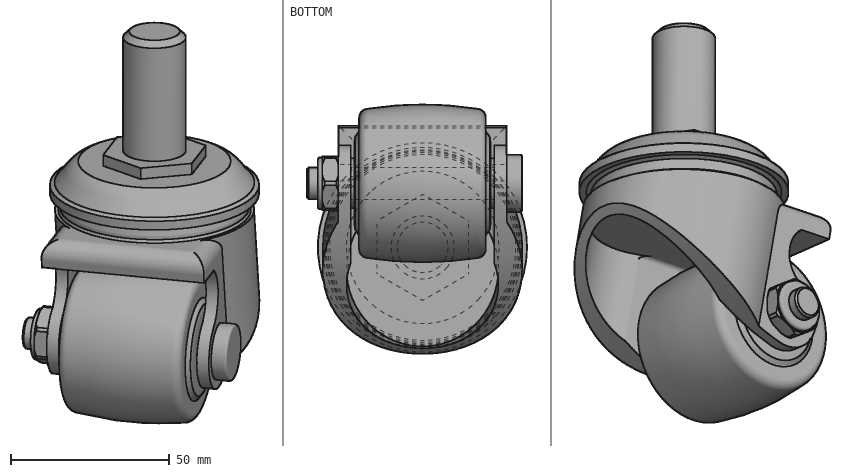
import cadquery as cq
import math


wheel_radius = 24.9
tread_edge_radius = 23.6
tread_edge_x = 17.5
wheel_half_width = 20.0
side_outer_radius = 20.6
tread_corner_radius = 22.7
tread_corner_x = 19.2
hub_step_radius = 16.5
hub_step_x = 20.3
hub_rim_radius = 16.0
hub_slope_radius = 14.7
hub_slope_x = 21.2
hub_face_radius = 12.9
hub_face_x = 21.5
spacer_radius = 7.9

axle_y = -20.1
axle_z = wheel_radius
axle_radius = 5.0
axle_end_x = -36.5
axle_chamfer = 0.6
nut_width = 17.0
nut_height = 5.0
nut_corner_radius = 9.5
nut_chamfer = 0.7
collar_radius = 8.2
collar_height = 1.5
collar_fillet = 0.9
head_radius = 9.1
head_height = 4.9
head_fillet = 0.7

yoke_top = 62.9
yoke_tilt = 11.0
yoke_radius = 31.5
fork_half_width = 26.5
fork_thickness = 3.9
fork_inner_half = fork_half_width - fork_thickness
plate_front = 38.7
plate_edge_fillet = 5.0
plate_bottom = 54.3
back_wall = 2.3
cavity_radius = 24.0
ceiling_fillet = 1.5
boss_radius = 12.0
yoke_back_y = 33.7
belly_radius = 83.5
notch_radius = 11.3
notch_y = -32.3
prism_length = 98.3

cap_top = 79.1
cap_top_radius = 24.1
cap_radius = 33.0
hex_width = 29.0
hex_height = 3.7
cap_shoulder_radius = 27.9
cap_shoulder_z = 76.4
cap_shoulder_middle = (26.2, 78.0)
rim_inner_radius = 31.6
rim_cone_z = 72.0
rim_top = 71.2
rim_bottom = 68.3
rim_lip_radius = 30.8
neck_top_radius = 29.4
neck_top_z = 67.5
neck_radius = 30.0
neck_band_top = 65.0
neck_band_bottom = 63.9
neck_foot_radius = 30.5
stem_radius = 10.0
stem_top = 122.8
stem_chamfer = 2.0


def hexagon_diameter(width):
    """Corner-to-corner diameter of a hexagon from its width across flats."""
    return width / math.cos(math.pi / 6)


def meeting_point(first, first_radius, second, second_radius):
    """Crossing point of two circles, to the right of the ray between their (y, z) centres."""
    dy = second[0] - first[0]
    dz = second[1] - first[1]
    gap = math.hypot(dy, dz)
    along = (first_radius**2 - second_radius**2 + gap**2) / (2 * gap)
    across = math.sqrt(first_radius**2 - along**2)
    return (
        first[0] + (along * dy + across * dz) / gap,
        first[1] + (along * dz - across * dy) / gap,
    )


def point_toward(start, target, distance):
    """Point at a distance from start on the ray to target."""
    length = math.dist(start, target)
    return (
        start[0] + distance * (target[0] - start[0]) / length,
        start[1] + distance * (target[1] - start[1]) / length,
    )


def axle_plane(x):
    """Plane across the axle at a given X."""
    return cq.Workplane("YZ", origin=(x, axle_y, axle_z))


def make_wheel():
    """Crowned wheel with stepped hub faces, bored for the axle."""
    right_side = [
        (wheel_half_width, side_outer_radius),
        (wheel_half_width, hub_step_radius),
        (hub_step_x, hub_rim_radius),
        (hub_slope_x, hub_slope_radius),
        (hub_face_x, hub_face_radius),
        (hub_face_x, spacer_radius),
        (fork_inner_half, spacer_radius),
        (fork_inner_half, axle_radius),
    ]
    left_side = [(-x, r) for x, r in reversed(right_side)]
    half_section = (
        cq.Workplane("XY")
        .moveTo(-tread_edge_x, tread_edge_radius)
        .threePointArc((0, wheel_radius), (tread_edge_x, tread_edge_radius))
        .threePointArc((tread_corner_x, tread_corner_radius), right_side[0])
        .polyline(right_side[1:] + left_side, includeCurrent=True)
        .threePointArc((-tread_corner_x, tread_corner_radius), (-tread_edge_x, tread_edge_radius))
        .close()
    )
    return half_section.revolve(360, (0, 0, 0), (1, 0, 0)).translate((0, axle_y, axle_z))


def tilted_plane():
    """Plane through the yoke top whose normal is the leaning yoke axis."""
    lean = math.radians(yoke_tilt)
    return cq.Workplane(
        cq.Plane((0, 0, yoke_top), xDir=(1, 0, 0), normal=(0, -math.sin(lean), math.cos(lean)))
    )


def below(level):
    """Large block filling the space under a Z level."""
    size = 2 * prism_length
    return cq.Workplane("XY").box(size, size, size).translate((0, 0, level - size / 2))


def make_yoke_outline():
    """Side outline of the yoke, as a block across the full width."""
    axle = (axle_y, axle_z)
    back = (yoke_back_y, plate_bottom)
    belly_centre = meeting_point(back, belly_radius, axle, belly_radius - boss_radius)
    belly_end = point_toward(belly_centre, axle, belly_radius)
    belly_chord_middle = ((back[0] + belly_end[0]) / 2, (back[1] + belly_end[1]) / 2)
    belly_middle = point_toward(belly_centre, belly_chord_middle, belly_radius)
    notch_rise = math.sqrt((boss_radius + notch_radius) ** 2 - (notch_y - axle_y) ** 2)
    notch_centre = (notch_y, axle_z + notch_rise)
    notch_start = point_toward(axle, notch_centre, boss_radius)
    notch_drop = plate_bottom - notch_centre[1]
    notch_end = (notch_y + math.sqrt(notch_radius**2 - notch_drop**2), plate_bottom)
    notch_middle = (notch_y + notch_radius, notch_centre[1])
    boss_middle = (axle_y - boss_radius, axle_z)
    return (
        cq.Workplane("YZ")
        .moveTo(*back)
        .threePointArc(belly_middle, belly_end)
        .threePointArc(boss_middle, notch_start)
        .threePointArc(notch_middle, notch_end)
        .lineTo(-prism_length, plate_bottom)
        .lineTo(-prism_length, yoke_top)
        .lineTo(yoke_back_y, yoke_top)
        .close()
        .extrude(yoke_radius, both=True)
    )


def make_cavity():
    """Wheel space of the yoke: an open slot between the legs with a round pocket behind it."""
    pocket_y = yoke_radius - back_wall - cavity_radius
    slot = (
        tilted_plane()
        .center(0, pocket_y - prism_length / 2)
        .rect(2 * fork_inner_half, prism_length)
        .extrude(prism_length, both=True)
        .intersect(below(plate_bottom))
        .faces(">Z")
        .edges("|Y")
        .fillet(ceiling_fillet)
    )
    pocket = (
        tilted_plane()
        .center(0, pocket_y)
        .circle(cavity_radius)
        .extrude(prism_length, both=True)
        .intersect(below(plate_bottom))
    )
    return slot.union(pocket)


def make_yoke():
    """Leaning round shell with a rounded front plate and two fork legs."""
    barrel = (
        tilted_plane()
        .circle(yoke_radius)
        .extrude(prism_length, both=True)
        .intersect(below(yoke_top))
    )
    fork = (
        tilted_plane()
        .center(0, -plate_front / 2)
        .rect(2 * fork_half_width, plate_front)
        .extrude(prism_length, both=True)
        .intersect(below(yoke_top))
        .faces(">Z")
        .edges("|X or |Y")
        .edges("not >Y")
        .fillet(plate_edge_fillet)
    )
    boss = axle_plane(-fork_half_width).circle(boss_radius).extrude(2 * fork_half_width)
    return barrel.union(fork).union(boss).intersect(make_yoke_outline()).cut(make_cavity())


def make_cap():
    """Turned swivel cap between the yoke and the stem."""
    return (
        cq.Workplane("XZ")
        .moveTo(0, yoke_top)
        .lineTo(neck_foot_radius, yoke_top)
        .lineTo(neck_radius, neck_band_bottom)
        .lineTo(neck_radius, neck_band_top)
        .lineTo(neck_top_radius, neck_top_z)
        .lineTo(rim_lip_radius, rim_bottom)
        .lineTo(cap_radius, rim_bottom)
        .lineTo(cap_radius, rim_top)
        .lineTo(rim_inner_radius, rim_cone_z)
        .lineTo(cap_shoulder_radius, cap_shoulder_z)
        .threePointArc(cap_shoulder_middle, (cap_top_radius, cap_top))
        .lineTo(0, cap_top)
        .close()
        .revolve(360, (0, 0, 0), (0, 1, 0))
    )


def make_stem():
    """Round stem rising from a hexagon collar on the cap."""
    hexagon = (
        cq.Workplane("XY", origin=(0, 0, cap_top))
        .polygon(6, hexagon_diameter(hex_width))
        .extrude(hex_height)
        .rotate((0, 0, 0), (0, 0, 1), 90)
    )
    stem = (
        cq.Workplane("XY", origin=(0, 0, cap_top))
        .circle(stem_radius)
        .extrude(stem_top - cap_top)
        .faces(">Z")
        .chamfer(stem_chamfer)
    )
    return hexagon.union(stem)


def make_axle():
    """Bolt through both legs, with a round head on the +X side."""
    head = (
        axle_plane(fork_half_width)
        .circle(head_radius)
        .extrude(head_height)
        .faces(">X")
        .fillet(head_fillet)
    )
    shank = (
        axle_plane(axle_end_x)
        .circle(axle_radius)
        .extrude(fork_half_width - axle_end_x)
        .faces("<X")
        .chamfer(axle_chamfer)
    )
    return head.union(shank)


def make_nut():
    """Hexagon nut with rounded-off corners and a round locking collar."""
    hexagon = (
        axle_plane(-fork_half_width)
        .transformed(rotate=(0, 0, 90))
        .polygon(6, hexagon_diameter(nut_width))
        .extrude(-nut_height)
    )
    corner_limit = (
        axle_plane(-fork_half_width)
        .circle(nut_corner_radius)
        .extrude(-nut_height)
        .faces("<X or >X")
        .chamfer(nut_chamfer)
    )
    collar = (
        axle_plane(-fork_half_width - nut_height)
        .circle(collar_radius)
        .extrude(-collar_height)
        .faces("<X")
        .fillet(collar_fillet)
    )
    return hexagon.intersect(corner_limit).union(collar)


wheel = make_wheel()
frame = make_yoke().union(make_cap()).union(make_stem()).union(make_axle()).union(make_nut())

result = cq.Compound.makeCompound([frame.solids().val(), wheel.val()])